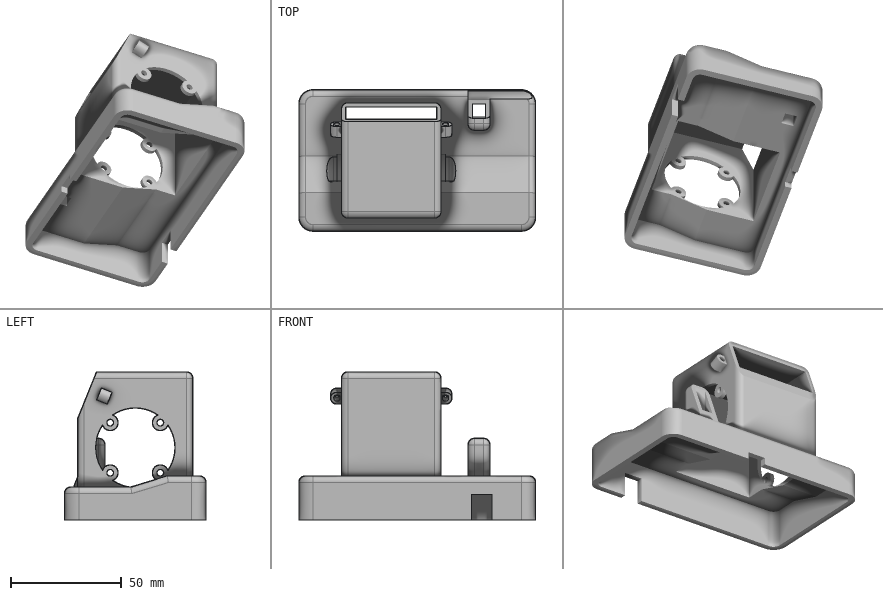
import cadquery as cq
import math

BASE_LENGTH = 107.0
BASE_WIDTH = 64.0
BASE_BACK_HEIGHT = 15.0
BASE_FRONT_HEIGHT = 20.0
RAMP_BACK_Y = 2.0
RAMP_FRONT_Y = -14.5
BASE_CORNER_RADIUS = 6.5
BASE_WALL = 3.0
BASE_ROOF = 2.0

EDGE_RADIUS = 3.0

TOWER_CENTER_X = -11.75
TOWER_LENGTH = 45.0
TOWER_WIDTH = 52.1
TOWER_TOP = 67.0
TOWER_WALL = 2.0
TOWER_ROOF = 3.0
SLANT_TOP_Y = 17.5
SLANT_ANGLE = 22.0

FAN_Z = 32.7
FAN_RADIUS = 17.9
SCREW_CIRCLE_RADIUS = 16.0
SCREW_ANGLES = (45, 135, 225, 315)
SCREW_BOSS_RADIUS = 3.6
SCREW_HOLE_DIAMETER = 2.9
FAN_OUTREACH = 2.0
RECESS_RADIUS = 17.65
RECESS_WIDTH = 6.0
RECESS_ROUNDING = 4.5

LUG_WIDTH = 5.75
LUG_THICKNESS = 5.2
LUG_REACH = 4.9
LUG_SETBACK = 4.8
LUG_Z = 58.8
LUG_HOLE_DIAMETER = 2.9

TURRET_CENTER_X = 27.9
TURRET_LENGTH = 10.0
TURRET_FRONT_Y = 13.6
TURRET_FOOT_Y = 27.9
TURRET_TOP = 37.0
SHAFT_SIZE = 5.7
SHAFT_CENTER_Y = 22.55

GROOVE_RADIUS = 2.5
GROOVE_CENTER_Y = 30.1
GROOVE_CENTER_Z = 15.95

FRONT_NOTCH_CENTER_X = 29.2
FRONT_NOTCH_HEIGHT = 11.5
NOTCH_WIDTH = 9.2
BACK_NOTCH_START_X = 0.5
BACK_NOTCH_HEIGHT = 3.3

BASE_HALF_LENGTH = BASE_LENGTH / 2
BASE_HALF_WIDTH = BASE_WIDTH / 2
TOWER_HALF_LENGTH = TOWER_LENGTH / 2
TOWER_HALF_WIDTH = TOWER_WIDTH / 2
SLANT_RUN = math.tan(math.radians(SLANT_ANGLE))


def box(x_range, y_range, z_range):
    """Box between the given (low, high) limits."""
    size = [high - low for low, high in (x_range, y_range, z_range)]
    corner = (x_range[0], y_range[0], z_range[0])
    return cq.Workplane("XY").box(*size, centered=False).translate(corner)


def x_prism(yz_outline, x_start, x_end):
    """Prism along X from a closed outline of (y, z) points."""
    plane = cq.Workplane("YZ").workplane(offset=x_start)
    return plane.polyline(yz_outline).close().extrude(x_end - x_start)


def base_block(wall, roof):
    """Stepped base block, drawn in by the wall on its sides and by the roof on top."""
    half_length = BASE_HALF_LENGTH - wall
    half_width = BASE_HALF_WIDTH - wall
    outline = [
        (-half_width, 0),
        (half_width, 0),
        (half_width, BASE_BACK_HEIGHT - roof),
        (RAMP_BACK_Y, BASE_BACK_HEIGHT - roof),
        (RAMP_FRONT_Y, BASE_FRONT_HEIGHT - roof),
        (-half_width, BASE_FRONT_HEIGHT - roof),
    ]
    block = x_prism(outline, -half_length, half_length)
    return block.edges("|Z").fillet(BASE_CORNER_RADIUS - wall)


def rounded_base():
    """Solid base with its whole upper rim rounded."""
    upper_zone = cq.selectors.BoxSelector(
        (-BASE_LENGTH, -BASE_WIDTH, BASE_BACK_HEIGHT - EDGE_RADIUS),
        (BASE_LENGTH, BASE_WIDTH, BASE_FRONT_HEIGHT + EDGE_RADIUS),
    )
    fold_zone = cq.selectors.BoxSelector(
        (-EDGE_RADIUS, RAMP_FRONT_Y - EDGE_RADIUS, 0),
        (EDGE_RADIUS, RAMP_BACK_Y + EDGE_RADIUS, BASE_FRONT_HEIGHT + EDGE_RADIUS),
    )
    rim = cq.selectors.SubtractSelector(upper_zone, fold_zone)
    return base_block(0, 0).edges(rim).fillet(EDGE_RADIUS)


def slant_wedge(top_y, top_z, center_x, length):
    """Material to remove behind a slanted plane that starts at (top_y, top_z) and meets the base top."""
    foot_y = top_y + (top_z - BASE_BACK_HEIGHT) * SLANT_RUN
    outline = [(top_y, top_z), (foot_y, top_z), (foot_y, BASE_BACK_HEIGHT)]
    return x_prism(outline, center_x - length / 2, center_x + length / 2)


def tower_box(wall, roof, z_start):
    """Upright box of the tower, drawn in by the wall on its sides and by the roof on top."""
    half_length = TOWER_HALF_LENGTH - wall
    half_width = TOWER_HALF_WIDTH - wall
    return box(
        (TOWER_CENTER_X - half_length, TOWER_CENTER_X + half_length),
        (-half_width, half_width),
        (z_start, TOWER_TOP - roof),
    )


def rounded_tower():
    """Solid tower with rounded edges and its upper back edge cut off."""
    tower = tower_box(0, 0, BASE_BACK_HEIGHT - BASE_ROOF)
    tower = tower.edges("|Z or >Z").fillet(EDGE_RADIUS)
    return tower.cut(slant_wedge(SLANT_TOP_Y, TOWER_TOP, TOWER_CENTER_X, TOWER_LENGTH))


def rounded_turret():
    """Solid turret: rounded front and top, slanted back."""
    half_length = TURRET_LENGTH / 2
    turret = box(
        (TURRET_CENTER_X - half_length, TURRET_CENTER_X + half_length),
        (TURRET_FRONT_Y, TURRET_FOOT_Y),
        (BASE_BACK_HEIGHT - BASE_ROOF, TURRET_TOP),
    )
    turret = turret.edges("(|Z and <Y) or (>Z and (not >Y))").fillet(EDGE_RADIUS)
    top_y = TURRET_FOOT_Y - (TURRET_TOP - BASE_BACK_HEIGHT) * SLANT_RUN
    return turret.cut(slant_wedge(top_y, TURRET_TOP, TURRET_CENTER_X, TURRET_LENGTH))


def lug(side):
    """Round-ended lug on one tower side (side is -1 or 1), its hole square to the slant."""
    slant_y = SLANT_TOP_Y + (TOWER_TOP - LUG_Z) * SLANT_RUN
    slant_cos = math.cos(math.radians(SLANT_ANGLE))
    slant_sin = math.sin(math.radians(SLANT_ANGLE))
    wall_x = TOWER_CENTER_X + side * TOWER_HALF_LENGTH
    inward = cq.Vector(0, -slant_cos, -slant_sin)
    origin = cq.Vector(wall_x, slant_y, LUG_Z) + inward * LUG_SETBACK
    plane = cq.Plane(origin=origin, xDir=(side, 0, 0), normal=inward)
    end_radius = LUG_WIDTH / 2
    hole_x = LUG_REACH - end_radius
    root_x = -TOWER_WALL / 2
    return (
        cq.Workplane(plane)
        .moveTo(root_x, -end_radius)
        .lineTo(hole_x, -end_radius)
        .threePointArc((LUG_REACH, 0), (hole_x, end_radius))
        .lineTo(root_x, end_radius)
        .close()
        .moveTo(hole_x, 0)
        .circle(LUG_HOLE_DIAMETER / 2)
        .extrude(LUG_THICKNESS)
    )


def x_cylinders(centers, radius, x_start, x_end):
    """Cylinders along X at the given (y, z) centers."""
    plane = cq.Workplane("YZ").workplane(offset=x_start)
    return plane.pushPoints(centers).circle(radius).extrude(x_end - x_start)


def ramp_recess(side):
    """Round recess in the ramp beside one tower wall (side is -1 or 1), rounded at its outer end."""
    inner_x = TOWER_CENTER_X + side * (TOWER_HALF_LENGTH + FAN_OUTREACH)
    outer_x = inner_x + side * RECESS_WIDTH
    recess = x_cylinders([(0, FAN_Z)], RECESS_RADIUS, min(inner_x, outer_x), max(inner_x, outer_x))
    recess = recess.faces("<X" if side < 0 else ">X").edges().fillet(RECESS_ROUNDING)
    ramp_zone = box(
        (-BASE_HALF_LENGTH, BASE_HALF_LENGTH),
        (RAMP_FRONT_Y, RAMP_BACK_Y),
        (BASE_BACK_HEIGHT, BASE_FRONT_HEIGHT),
    )
    return recess.intersect(ramp_zone)


def fan_cutter():
    """Fan opening and ramp recesses, less the screw bosses, plus the screw holes."""
    screw_centers = [
        (
            SCREW_CIRCLE_RADIUS * math.cos(math.radians(angle)),
            FAN_Z + SCREW_CIRCLE_RADIUS * math.sin(math.radians(angle)),
        )
        for angle in SCREW_ANGLES
    ]
    reach = TOWER_HALF_LENGTH + FAN_OUTREACH
    opening = x_cylinders([(0, FAN_Z)], FAN_RADIUS, TOWER_CENTER_X - reach, TOWER_CENTER_X + reach)
    for side in (-1, 1):
        opening = opening.union(ramp_recess(side))
    bosses = x_cylinders(screw_centers, SCREW_BOSS_RADIUS, -BASE_HALF_LENGTH, BASE_HALF_LENGTH)
    holes = x_cylinders(
        screw_centers,
        SCREW_HOLE_DIAMETER / 2,
        TOWER_CENTER_X - TOWER_HALF_LENGTH,
        TOWER_CENTER_X + TOWER_HALF_LENGTH,
    )
    return opening.cut(bosses).union(holes)


def groove():
    """Round groove along the upper back edge."""
    start_x = TURRET_CENTER_X - TURRET_LENGTH / 2
    return x_cylinders([(GROOVE_CENTER_Y, GROOVE_CENTER_Z)], GROOVE_RADIUS, start_x, BASE_HALF_LENGTH)


def turret_shaft():
    """Square shaft down through the turret into the base."""
    half_size = SHAFT_SIZE / 2
    return box(
        (TURRET_CENTER_X - half_size, TURRET_CENTER_X + half_size),
        (SHAFT_CENTER_Y - half_size, SHAFT_CENTER_Y + half_size),
        (0, TURRET_TOP),
    )


def front_notch():
    """Cable notch through the front wall."""
    half_width = NOTCH_WIDTH / 2
    return box(
        (FRONT_NOTCH_CENTER_X - half_width, FRONT_NOTCH_CENTER_X + half_width),
        (-BASE_HALF_WIDTH, BASE_WALL - BASE_HALF_WIDTH),
        (0, FRONT_NOTCH_HEIGHT),
    )


def back_notch():
    """Low notch through the back wall."""
    return box(
        (BACK_NOTCH_START_X, BACK_NOTCH_START_X + NOTCH_WIDTH),
        (BASE_HALF_WIDTH - BASE_WALL, BASE_HALF_WIDTH),
        (0, BACK_NOTCH_HEIGHT),
    )


result = rounded_base().union(rounded_tower()).union(rounded_turret())
for lug_side in (-1, 1):
    result = result.union(lug(lug_side))
result = result.cut(base_block(BASE_WALL, BASE_ROOF))
result = result.cut(tower_box(TOWER_WALL, TOWER_ROOF, 0))
for cutter in (groove(), fan_cutter(), turret_shaft(), front_notch(), back_notch()):
    result = result.cut(cutter)